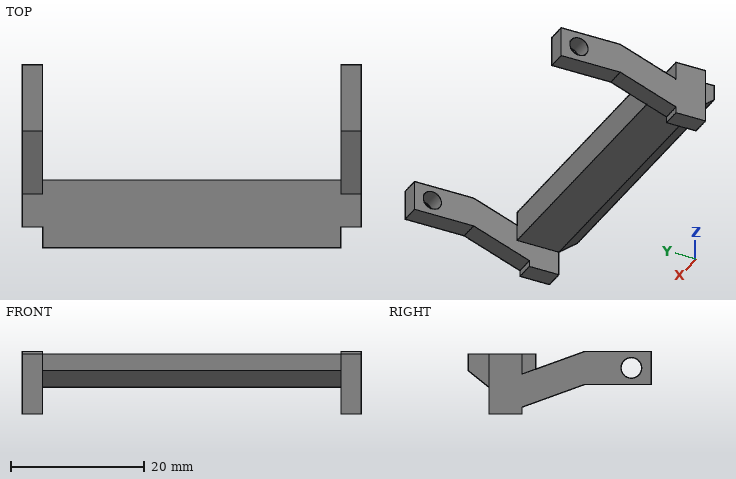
import cadquery as cq

length = 51.0
depth = 27.55
height = 9.45

bar_depth = 10.2
bar_top = 9.05
bar_bottom = 4.05
nose_depth = 3.1
nose_height = 2.5

bracket_width = 3.1
foot_depth = 5.0
arm_thickness = 5.0
arm_drop = 3.4
lug_length = 10.0
hole_diameter = 3.05
hole_from_end = 3.0

foot_front = nose_depth
foot_back = foot_front + foot_depth
lug_front = depth - lug_length
lug_bottom = height - arm_thickness
bar_length = length - 2 * bracket_width


def make_bar():
    """Cross bar with a sloping underside along its front edge."""
    profile = [
        (0, bar_top),
        (bar_depth, bar_top),
        (bar_depth, bar_bottom),
        (nose_depth, bar_bottom),
        (0, bar_top - nose_height),
    ]
    bar = cq.Workplane("YZ").polyline(profile).close().extrude(bar_length)
    return bar.translate((-bar_length / 2, 0, 0))


def make_bracket(x_start):
    """Side bracket occupying one bracket width from x_start towards +X."""
    profile = [
        (foot_front, 0),
        (foot_back, 0),
        (foot_back, lug_bottom - arm_drop),
        (lug_front, lug_bottom),
        (depth, lug_bottom),
        (depth, height),
        (lug_front, height),
        (foot_back, height - arm_drop),
        (foot_back, bar_top),
        (foot_front, bar_top),
    ]
    bracket = cq.Workplane("YZ").polyline(profile).close().extrude(bracket_width)
    hole = (
        cq.Workplane("YZ")
        .center(depth - hole_from_end, height - arm_thickness / 2)
        .circle(hole_diameter / 2)
        .extrude(bracket_width)
    )
    return bracket.cut(hole).translate((x_start, 0, 0))


result = make_bar()
for x_start in (-length / 2, length / 2 - bracket_width):
    result = result.union(make_bracket(x_start))